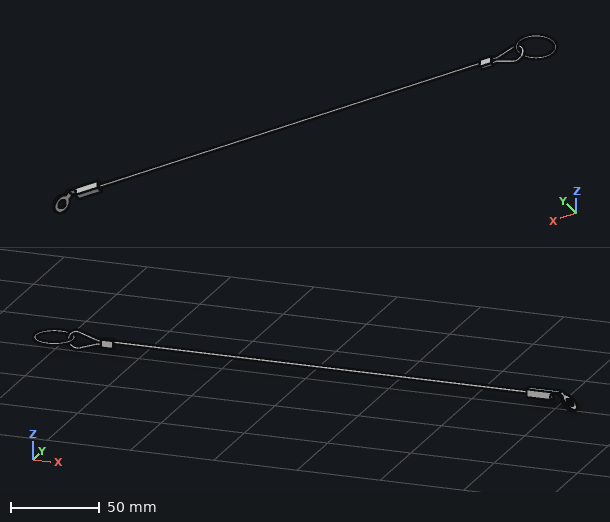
import cadquery as cq
import math


overall_length = 325.5

ring_outer_diameter = 24.0
ring_wire = 2.0

rope_diameter = 2.2
strand_gap = 0.05
eye_height = 12.0
eye_left_x = 7.5
throat_x = 26.5
throat_bend_radius = 5.0
strand_z = (rope_diameter + strand_gap) / 2

ferrule_x = 28.3
ferrule_length = 7.5
ferrule_width = 3.3
ferrule_height = 5.0

tag_x = 284.0
tag_side = 5.0
block_length = 15.0
scoop_radius = 3.0
scoop_rise = 1.8
strip_thickness = 0.5
strip_end_x = 304.0
bend_angle = 45
eyelet_thickness = 1.3
eyelet_diameter = 11.0
eyelet_hole_diameter = 5.0
eyelet_end_x = overall_length - ring_outer_diameter / 2
tag_top_z = strand_z + tag_side / 2


def make_ring():
    wire_radius = ring_wire / 2
    centre_radius = ring_outer_diameter / 2 - wire_radius
    return cq.Workplane("XY").add(cq.Solid.makeTorus(centre_radius, wire_radius))


def make_rope_path():
    """Centre line: along the upper strand, round the eye and back along the lower strand."""
    eye_radius = (eye_height - rope_diameter) / 2
    eye_x = eye_left_x + eye_height / 2

    run = throat_x - eye_x
    rise = strand_z + throat_bend_radius
    distance = math.hypot(run, rise)
    normal = math.atan2(rise, run) + math.acos((eye_radius + throat_bend_radius) / distance)
    eye_tangent = (eye_x + eye_radius * math.cos(normal), eye_radius * math.sin(normal))
    bend_tangent = (
        throat_x - throat_bend_radius * math.cos(normal),
        rise - throat_bend_radius * math.sin(normal),
    )
    middle = (normal + math.pi / 2) / 2
    bend_middle = (
        throat_x - throat_bend_radius * math.cos(middle),
        rise - throat_bend_radius * math.sin(middle),
    )

    def lower(point):
        return (point[0], -point[1])

    return (
        cq.Workplane("XZ")
        .moveTo(tag_x, strand_z)
        .lineTo(throat_x, strand_z)
        .threePointArc(bend_middle, bend_tangent)
        .lineTo(*eye_tangent)
        .threePointArc((eye_x - eye_radius, 0), lower(eye_tangent))
        .lineTo(*lower(bend_tangent))
        .threePointArc(lower(bend_middle), (throat_x, -strand_z))
        .lineTo(ferrule_x + ferrule_length, -strand_z)
    )


def make_cable():
    rope = (
        cq.Workplane("YZ", origin=(tag_x, 0, strand_z))
        .circle(rope_diameter / 2)
        .sweep(make_rope_path())
    )
    ferrule = cq.Workplane("XY").box(
        ferrule_length, ferrule_width, ferrule_height, centered=(False, True, True)
    ).translate((ferrule_x, 0, 0))
    return rope.union(ferrule)


def make_block():
    """Block and strip, from one side outline; the scoop is a concave arc up to the strip."""
    bottom_z = tag_top_z - tag_side
    strip_z = tag_top_z - strip_thickness
    block_end_x = tag_x + block_length
    scoop_z = bottom_z + scoop_rise
    scoop_x = block_end_x + math.sqrt(scoop_radius**2 - scoop_rise**2)
    strip_start_x = scoop_x - math.sqrt(scoop_radius**2 - (strip_z - scoop_z) ** 2)
    return (
        cq.Workplane("XZ")
        .moveTo(tag_x, bottom_z)
        .lineTo(block_end_x, bottom_z)
        .threePointArc((scoop_x - scoop_radius, scoop_z), (strip_start_x, strip_z))
        .lineTo(strip_end_x, strip_z)
        .lineTo(strip_end_x, tag_top_z)
        .lineTo(tag_x, tag_top_z)
        .close()
        .extrude(tag_side / 2, both=True)
    )


def make_eyelet():
    """Round eyelet with a square neck, laid out on its upper face that slopes down from the strip."""
    slope = math.radians(bend_angle)
    upper_face = cq.Workplane(
        cq.Plane(
            origin=(strip_end_x, 0, tag_top_z),
            xDir=(math.cos(slope), 0, -math.sin(slope)),
            normal=(math.sin(slope), 0, math.cos(slope)),
        )
    )
    centre = (eyelet_end_x - strip_end_x) / math.cos(slope) - eyelet_diameter / 2
    neck = upper_face.center(centre / 2, 0).rect(centre, tag_side).extrude(-eyelet_thickness)
    disc = upper_face.center(centre, 0).circle(eyelet_diameter / 2).extrude(-eyelet_thickness)
    hole = upper_face.center(centre, 0).circle(eyelet_hole_diameter / 2).extrude(-eyelet_thickness)
    return neck.union(disc).cut(hole)


def make_tag():
    return make_block().union(make_eyelet())


ring = make_ring()
cable = make_cable()
tag = make_tag()

result = cq.Compound.makeCompound([ring.val(), cable.val(), tag.val()])